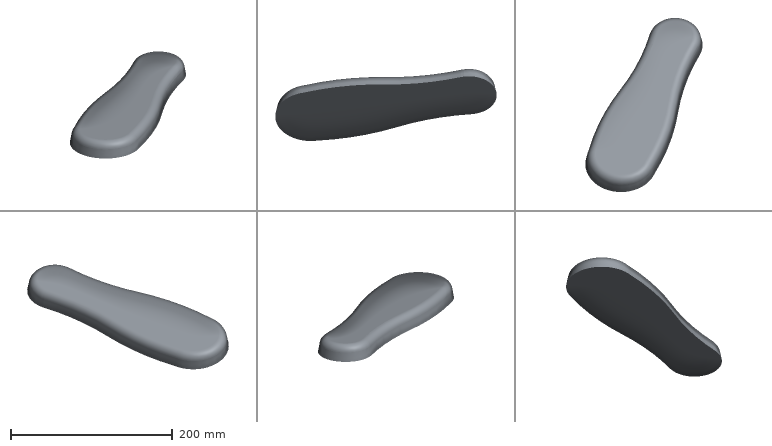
import cadquery as cq
import math

length = 278.5
height = 20.0
max_width = 92.7

narrow_end_radius = 34.3
wide_end_radius = 44.3
narrow_end_y = length / 2 - narrow_end_radius
wide_end_y = wide_end_radius - length / 2

waist_y = 69.5
waist_half_width = 32.5
bulge_y = -58.8
bulge_half_width = max_width / 2

draft_angle = 10.0
top_fillet = 10.0

side_rise = bulge_half_width - waist_half_width
side_run = waist_y - bulge_y
side_radius = (side_run**2 + side_rise**2) / (4 * side_rise)
meeting_point = ((waist_half_width + bulge_half_width) / 2, (waist_y + bulge_y) / 2)

waist_flare = narrow_end_radius - waist_half_width
waist_top_y = waist_y + math.sqrt(2 * side_radius * waist_flare - waist_flare**2)


def mirrored(point):
    """Return the point on the opposite side of the Y axis."""
    return (-point[0], point[1])


def make_outline():
    """Footprint on the base plane, symmetric about the Y axis."""
    narrow_corner = (narrow_end_radius, narrow_end_y)
    waist_top = (narrow_end_radius, waist_top_y)
    waist = (waist_half_width, waist_y)
    bulge = (bulge_half_width, bulge_y)
    wide_corner = (wide_end_radius, wide_end_y)
    return (
        cq.Workplane("XY")
        .moveTo(*narrow_corner)
        .lineTo(*waist_top)
        .threePointArc(waist, meeting_point)
        .threePointArc(bulge, wide_corner)
        .threePointArc((0, -length / 2), mirrored(wide_corner))
        .threePointArc(mirrored(bulge), mirrored(meeting_point))
        .threePointArc(mirrored(waist), mirrored(waist_top))
        .lineTo(*mirrored(narrow_corner))
        .threePointArc((0, length / 2), narrow_corner)
        .close()
    )


body = make_outline().extrude(height, taper=draft_angle)
result = body.faces(">Z").edges().fillet(top_fillet)